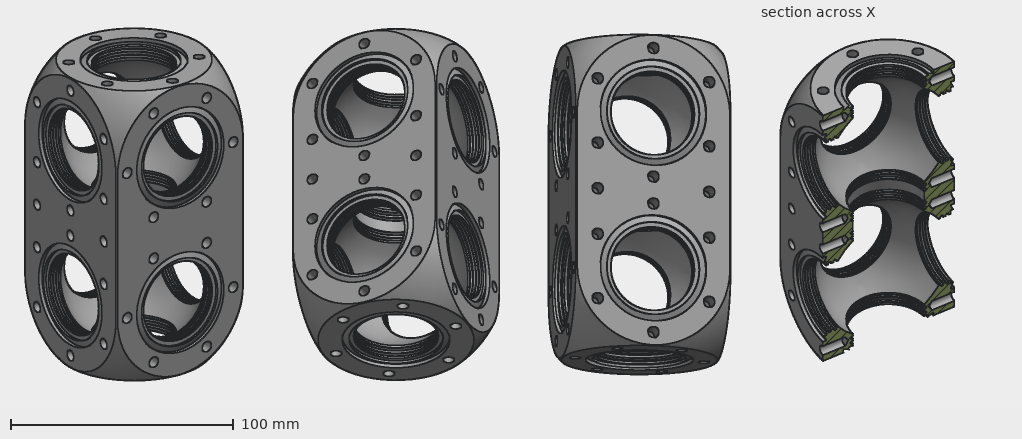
import cadquery as cq
import math

face_width = 70.6
block_height = 142.0
half_width = face_width / 2
half_height = block_height / 2
side_flat_half_width = 34.75
corner_radius = math.hypot(half_width, side_flat_half_width)
end_flat_radius = 35.0

chamber_pitch = block_height / 2
chamber_z = chamber_pitch / 2
chamber_heights = (-chamber_z, chamber_z)
bore_radius = 19.05
bore_length = 8.6
chamber_radius = math.hypot(half_height - chamber_z - bore_length, bore_radius)
bore_overlap = 1.0

recess_radius = 24.15
recess_depth = 1.9
knife_radius = 21.1
knife_depth = 0.5
seat_depth = 1.8

groove_radius = bore_radius + 1.3
groove_width = 1.55
groove_bevel = 0.7
groove_depths = (3.0, 5.9)

bolt_circle_radius = 29.35
bolt_count = 6
bolt_step = 360 / bolt_count
hole_radius = 2.5
hole_depth = 12.0
drill_point_angle = 118.0
drill_point_length = hole_radius / math.tan(math.radians(drill_point_angle / 2))
middle_hole_offset = bolt_circle_radius * math.cos(math.radians(bolt_step / 2))


def revolve_about_z(points):
    """Solid of revolution from a closed (radius, height) outline."""
    return cq.Workplane("XZ").polyline(points).close().revolve(360, (0, 0, 0), (0, 1, 0))


def make_block():
    """Square block trimmed by a turned envelope that domes towards each end."""
    box = cq.Workplane("XY").box(face_width, face_width, block_height)
    envelope = (
        cq.Workplane("XZ")
        .moveTo(corner_radius, 0)
        .lineTo(corner_radius, chamber_z)
        .tangentArcPoint((end_flat_radius, half_height), relative=False)
        .lineTo(0, half_height)
        .lineTo(0, 0)
        .close()
        .revolve(360, (0, 0, 0), (0, 1, 0))
    )
    return box.intersect(envelope.union(envelope.mirror("XY")))


def grooved_wall():
    """Bore wall outline from the outermost groove down into the chamber."""
    points = []
    for depth in groove_depths:
        ledge = depth + groove_width
        points.append((bore_radius, -depth))
        points.append((groove_radius - groove_bevel, -depth))
        points.append((groove_radius, -depth - groove_bevel))
        points.append((groove_radius, groove_bevel - ledge))
        points.append((groove_radius - groove_bevel, -ledge))
        points.append((bore_radius, -ledge))
    end = -bore_length - bore_overlap
    return points + [(bore_radius, end), (0, end)]


def make_port():
    """Port cutter with its mouth on Z = 0: seal recess and grooved bore."""
    recess = [
        (0, 0),
        (recess_radius, 0),
        (recess_radius, -recess_depth),
        (knife_radius, -knife_depth),
        (knife_radius, -seat_depth),
        (bore_radius, -seat_depth),
    ]
    return revolve_about_z(recess + grooved_wall()).val()


def make_connecting_bore():
    """Cutter joining the chambers: two grooved bores mirrored about Z = 0."""
    lower = revolve_about_z([(0, 0), (bore_radius, 0)] + grooved_wall())
    return lower.union(lower.mirror("XY")).val()


def make_bolt_hole():
    """Drilled hole cutter with its mouth on Z = 0 and a conical bottom."""
    outline = [
        (0, 0),
        (hole_radius, 0),
        (hole_radius, -hole_depth),
        (0, -hole_depth - drill_point_length),
    ]
    return revolve_about_z(outline).val()


def flange_cutters(plane, start_angle):
    """Port and bolt circle placed on one flange face."""
    cutters = [make_port().moved(plane.location)]
    hole = make_bolt_hole()
    for i in range(bolt_count):
        angle = math.radians(start_angle + i * bolt_step)
        x = bolt_circle_radius * math.cos(angle)
        y = bolt_circle_radius * math.sin(angle)
        cutters.append(hole.translate(cq.Vector(x, y, 0)).moved(plane.location))
    return cutters


def middle_hole_cutters(side):
    """Two extra bolt holes level with the middle of the front or back face."""
    hole = make_bolt_hole()
    cutters = []
    for x in (-middle_hole_offset, middle_hole_offset):
        plane = cq.Plane((x, side * half_width, 0), (1, 0, 0), (0, side, 0))
        cutters.append(hole.moved(plane.location))
    return cutters


def all_cutters():
    """Every chamber, bore, port and bolt hole removed from the block."""
    cutters = [make_connecting_bore()]
    for z in chamber_heights:
        cutters.append(cq.Workplane("XY").sphere(chamber_radius).val().translate(cq.Vector(0, 0, z)))
    for side in (-1, 1):
        end_plane = cq.Plane((0, 0, side * half_height), (1, 0, 0), (0, 0, side))
        cutters += flange_cutters(end_plane, 0)
        for z in chamber_heights:
            x_plane = cq.Plane((side * half_width, 0, z), (0, 1, 0), (side, 0, 0))
            y_plane = cq.Plane((0, side * half_width, z), (1, 0, 0), (0, side, 0))
            cutters += flange_cutters(x_plane, 0)
            cutters += flange_cutters(y_plane, bolt_step / 2)
        cutters += middle_hole_cutters(side)
    return cutters


block = make_block().val()
result = cq.Workplane(block.cut(*all_cutters()))